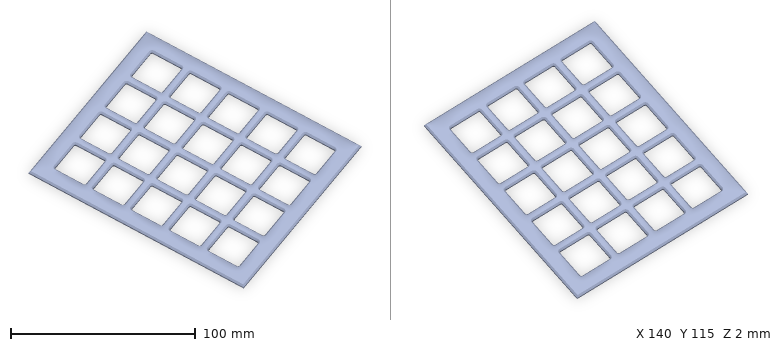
import cadquery as cq

length = 140.0
width = 115.0
thickness = 2.0
bevel = 1.0

columns = 5
rows = 4
margin = 9.1
web = 3.1
window_rim = (length - 2 * margin - (columns - 1) * web) / columns
pitch = window_rim + web

window_side = window_rim - 2 * bevel
window_corner_radius = 1.0


def beveled_plate():
    """Plate standing on Z = 0 with its upper outer edges beveled."""
    plate = cq.Workplane("XY").box(length, width, thickness, centered=(True, True, False))
    return plate.faces(">Z").edges().chamfer(bevel)


def cut_windows(plate):
    """Cut the centred grid of rounded windows and bevel their upper rims."""
    pierced = (
        plate.faces(">Z")
        .workplane(origin=(0, 0, thickness))
        .rarray(pitch, pitch, columns, rows)
        .rect(window_side, window_side)
        .cutThruAll()
    )
    grid_half_length = columns * pitch / 2
    grid_half_width = rows * pitch / 2
    inside_grid = cq.selectors.BoxSelector(
        (-grid_half_length, -grid_half_width, -thickness),
        (grid_half_length, grid_half_width, 2 * thickness),
    )
    rounded = pierced.edges("|Z").edges(inside_grid).fillet(window_corner_radius)
    return rounded.faces(">Z").edges(inside_grid).chamfer(bevel)


result = cut_windows(beveled_plate())